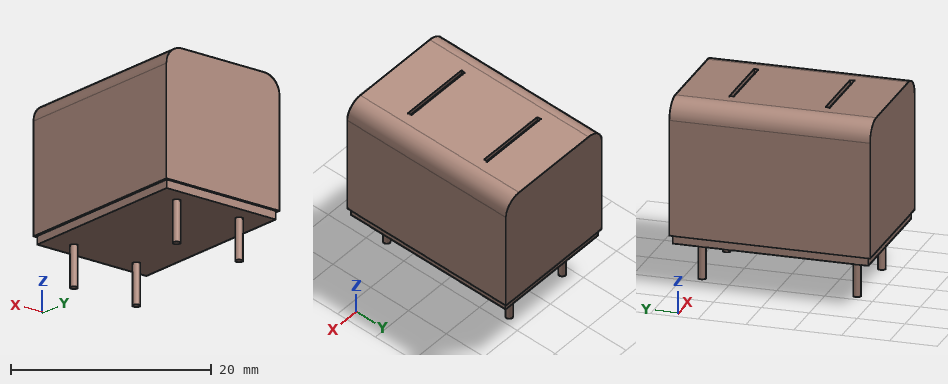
import cadquery as cq

CASE_WIDTH = 14.5
CASE_LENGTH = 21.0
CASE_HEIGHT = 14.3
CASE_EDGE_RADIUS = 2.0

BASE_WIDTH = 14.0
BASE_LENGTH = 20.45
BASE_HEIGHT = 0.9

PIN_LENGTH = 4.5
PIN_DIAMETER = 0.8
PIN_PITCH_X = 8.0
PIN_PITCH_Y = 16.2

SLOT_OUTER_LENGTH = 8.12
SLOT_INNER_LENGTH = 7.95
SLOT_OUTER_Y = 5.25
SLOT_WIDTH = 0.45
SLOT_DEPTH = 0.5

BASE_BOTTOM = PIN_LENGTH
CASE_BOTTOM = BASE_BOTTOM + BASE_HEIGHT
CASE_TOP = CASE_BOTTOM + CASE_HEIGHT


def make_case():
    block = cq.Workplane("XY", origin=(0, 0, CASE_BOTTOM)).box(
        CASE_WIDTH, CASE_LENGTH, CASE_HEIGHT, centered=(True, True, False)
    )
    return block.faces(">Z").edges("|Y").fillet(CASE_EDGE_RADIUS)


def make_base():
    return cq.Workplane("XY", origin=(0, 0, BASE_BOTTOM)).box(
        BASE_WIDTH, BASE_LENGTH, BASE_HEIGHT, centered=(True, True, False)
    )


def make_pins():
    return (
        cq.Workplane("XY")
        .rarray(PIN_PITCH_X, PIN_PITCH_Y, 2, 2)
        .circle(PIN_DIAMETER / 2)
        .extrude(PIN_LENGTH)
    )


def make_slot_cutter(side):
    """Trapezoidal slot on the +Y (side = 1) or -Y (side = -1) half of the top."""
    outer_y = side * SLOT_OUTER_Y
    inner_y = side * (SLOT_OUTER_Y - SLOT_WIDTH)
    corners = [
        (-SLOT_OUTER_LENGTH / 2, outer_y),
        (SLOT_OUTER_LENGTH / 2, outer_y),
        (SLOT_INNER_LENGTH / 2, inner_y),
        (-SLOT_INNER_LENGTH / 2, inner_y),
    ]
    return cq.Workplane("XY", origin=(0, 0, CASE_TOP)).polyline(corners).close().extrude(-SLOT_DEPTH)


result = make_case().union(make_base()).union(make_pins())
for side in (1, -1):
    result = result.cut(make_slot_cutter(side))